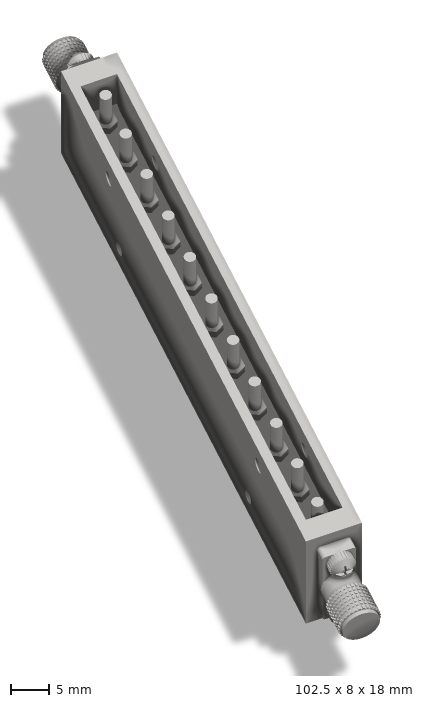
import cadquery as cq
import math

TOTAL_LENGTH = 102.5
HALF_LENGTH = TOTAL_LENGTH / 2

BODY_LENGTH = 83.6
BODY_WIDTH = 8.0
BODY_HEIGHT = 18.0
BODY_END = BODY_LENGTH / 2
BODY_TOP = BODY_HEIGHT / 2

POCKET_LENGTH = 77.1
POCKET_WIDTH = 5.2
POCKET_DEPTH = 7.0
FOOT_LENGTH = 1.0
FOOT_HEIGHT = 0.5
POCKET_FLOOR = BODY_TOP - POCKET_DEPTH

TUNING_PITCH = 7.4
EVEN_SCREWS_PER_SIDE = 3
OUTER_TUNING_OFFSETS = [29.3, 36.2]
TUNING_DIAMETER = 1.6
TUNING_TOP_GAP = 0.3
LOCK_NUT_FLATS = 2.8
HEX_SIDES = 6
LOCK_NUT_CORNERS = LOCK_NUT_FLATS / math.cos(math.pi / HEX_SIDES)
LOCK_NUT_HEIGHT = 1.2

MOUNT_DIAMETER = 2.2
MOUNT_Z = 5.5
UPPER_MOUNT_X = 25.5
LOWER_MOUNT_X = 22.0

FLANGE_THICKNESS = 1.8
FLANGE_WIDTH = 4.8
FLANGE_HEIGHT = 13.6
FLANGE_CORNER_RADIUS = 0.5
FLANGE_FACE = BODY_END + FLANGE_THICKNESS

BARREL_DIAMETER = 5.3
NUT_DIAMETER = 6.0
NUT_LENGTH = 4.3
NUT_TIP_GAP = 0.6
NUT_START = HALF_LENGTH - NUT_TIP_GAP - NUT_LENGTH
KNURL_COUNT = 30
KNURL_WIDTH = 0.3
KNURL_DEPTH = 0.2
KNURL_RINGS = 6

SCREW_SPACING = 10.2
HEAD_DIAMETER = 3.7
HEAD_HEIGHT = 2.3
HEAD_BEVEL = 1.0
HEAD_GROOVES = 24
HEAD_GROOVE_WIDTH = 0.2
HEAD_GROOVE_DEPTH = 0.1
WIDE_SLOT = (2.5, 0.6)
NARROW_SLOT = (0.3, 2.3)
RECESS_DEPTH = 0.5


def rod_along_x(start, length, diameter):
    return cq.Workplane("YZ").workplane(offset=start).circle(diameter / 2).extrude(length)


def lengthwise_grooves(start, length, diameter, count, width, depth):
    """Cutters for even grooves along X around a round rod on the X axis."""
    return (
        cq.Workplane("YZ", origin=(start, 0, 0))
        .polarArray(diameter / 2, 0, 360, count)
        .rect(2 * depth, width).extrude(length)
    )


def make_pocket_foot(side):
    """Wedge where one end wall (side = -1 or 1) meets the pocket floor."""
    wall = side * POCKET_LENGTH / 2
    return (
        cq.Workplane("XZ")
        .moveTo(wall, POCKET_FLOOR)
        .lineTo(wall - side * FOOT_LENGTH, POCKET_FLOOR)
        .lineTo(wall, POCKET_FLOOR + FOOT_HEIGHT)
        .close().extrude(POCKET_WIDTH / 2, both=True)
    )


def make_body():
    body = cq.Workplane("XY").box(BODY_LENGTH, BODY_WIDTH, BODY_HEIGHT)
    pocket = (
        cq.Workplane("XY", origin=(0, 0, POCKET_FLOOR))
        .box(POCKET_LENGTH, POCKET_WIDTH, POCKET_DEPTH, centered=(True, True, False))
    )
    pocket = pocket.cut(make_pocket_foot(-1)).cut(make_pocket_foot(1))
    hole_centers = [
        (side * x, z)
        for side in (-1, 1)
        for x, z in ((UPPER_MOUNT_X, MOUNT_Z), (LOWER_MOUNT_X, -MOUNT_Z))
    ]
    holes = (
        cq.Workplane("XZ").pushPoints(hole_centers)
        .circle(MOUNT_DIAMETER / 2).extrude(BODY_WIDTH / 2, both=True)
    )
    return body.cut(pocket).cut(holes)


def make_tuning_screws():
    offsets = [TUNING_PITCH * (i + 1) for i in range(EVEN_SCREWS_PER_SIDE)] + OUTER_TUNING_OFFSETS
    centers = [(0, 0)] + [(side * x, 0) for side in (-1, 1) for x in offsets]
    floor = cq.Workplane("XY", origin=(0, 0, POCKET_FLOOR)).pushPoints(centers)
    nuts = floor.polygon(HEX_SIDES, LOCK_NUT_CORNERS).extrude(LOCK_NUT_HEIGHT)
    screws = floor.circle(TUNING_DIAMETER / 2).extrude(POCKET_DEPTH - TUNING_TOP_GAP)
    return nuts.union(screws)


def make_knurled_nut():
    nut = rod_along_x(NUT_START, NUT_LENGTH, NUT_DIAMETER)
    nut = nut.cut(
        lengthwise_grooves(NUT_START, NUT_LENGTH, NUT_DIAMETER, KNURL_COUNT, KNURL_WIDTH, KNURL_DEPTH)
    )
    ring_pitch = NUT_LENGTH / (KNURL_RINGS + 1)
    for i in range(KNURL_RINGS):
        ring_start = NUT_START + (i + 1) * ring_pitch - KNURL_WIDTH / 2
        ring = rod_along_x(ring_start, KNURL_WIDTH, NUT_DIAMETER).cut(
            rod_along_x(ring_start, KNURL_WIDTH, NUT_DIAMETER - 2 * KNURL_DEPTH)
        )
        nut = nut.cut(ring)
    return nut


def make_flange_screw():
    """Grip-edged screw head with a cross recess, on the X axis."""
    head = (
        rod_along_x(FLANGE_FACE, HEAD_HEIGHT, HEAD_DIAMETER)
        .faces(">X").chamfer(HEAD_BEVEL)
    )
    head = head.cut(
        lengthwise_grooves(
            FLANGE_FACE, HEAD_HEIGHT, HEAD_DIAMETER, HEAD_GROOVES, HEAD_GROOVE_WIDTH, HEAD_GROOVE_DEPTH
        )
    )
    recess = cq.Workplane("YZ", origin=(FLANGE_FACE + HEAD_HEIGHT - RECESS_DEPTH, 0, 0))
    for slot_size in (WIDE_SLOT, NARROW_SLOT):
        head = head.cut(recess.rect(*slot_size).extrude(RECESS_DEPTH))
    return head


def make_connector():
    """Connector on the +X end of the housing."""
    flange = (
        cq.Workplane("YZ", origin=(BODY_END, 0, 0))
        .rect(FLANGE_WIDTH, FLANGE_HEIGHT).extrude(FLANGE_THICKNESS)
        .edges("|X").fillet(FLANGE_CORNER_RADIUS)
    )
    barrel = rod_along_x(FLANGE_FACE, HALF_LENGTH - FLANGE_FACE, BARREL_DIAMETER)
    connector = flange.union(barrel).union(make_knurled_nut())
    screw = make_flange_screw()
    for side in (-1, 1):
        connector = connector.union(screw.translate((0, 0, side * SCREW_SPACING / 2)))
    return connector


connector = make_connector()
result = (
    make_body()
    .union(make_tuning_screws())
    .union(connector)
    .union(connector.mirror("YZ"))
)